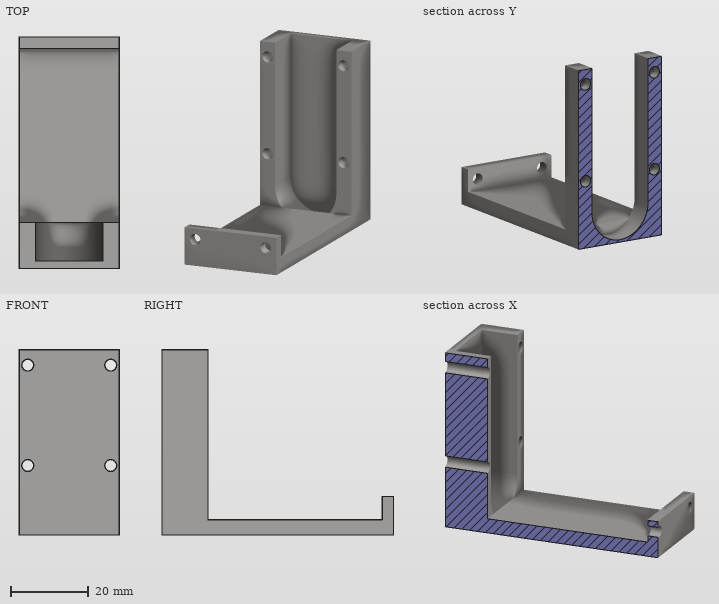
import cadquery as cq

width = 26.0
length = 60
height = 48

floor_thickness = 4.0
lip_thickness = 3
lip_height = 10.0
block_depth = 12
front_wall = 2.0

channel_width = 17.4
channel_bottom = 0.8
channel_radius = channel_width / 2

hole_diameter = 3
block_hole_spacing = 21.5
block_hole_heights = (18, 44.0)
lip_hole_spacing = 20.0
lip_hole_height = 7.0


def side_profile_body():
    """U-shaped bracket: tall front block, floor and low rear lip."""
    lip_front = length - lip_thickness
    return (
        cq.Workplane("YZ")
        .polyline([
            (0, 0),
            (length, 0),
            (length, lip_height),
            (lip_front, lip_height),
            (lip_front, floor_thickness),
            (block_depth, floor_thickness),
            (block_depth, height),
            (0, height),
        ])
        .close()
        .extrude(width / 2, both=True)
    )


def channel():
    """Open-topped channel with a half-round bottom, behind the front wall."""
    spring_height = channel_bottom + channel_radius
    return (
        cq.Workplane("XZ", origin=(0, block_depth, 0))
        .moveTo(-channel_radius, height)
        .lineTo(-channel_radius, spring_height)
        .threePointArc((0, channel_bottom), (channel_radius, spring_height))
        .lineTo(channel_radius, height)
        .close()
        .extrude(block_depth - front_wall)
    )


def hole_pair(spacing, hole_height, start_y, depth):
    """Two holes along Y, placed symmetrically about the middle plane."""
    return (
        cq.Workplane("XZ", origin=(0, start_y, hole_height))
        .pushPoints([(-spacing / 2, 0), (spacing / 2, 0)])
        .circle(hole_diameter / 2)
        .extrude(-depth)
    )


result = side_profile_body().cut(channel())
for hole_height in block_hole_heights:
    result = result.cut(hole_pair(block_hole_spacing, hole_height, 0, block_depth))
result = result.cut(
    hole_pair(lip_hole_spacing, lip_hole_height, length - lip_thickness, lip_thickness)
)